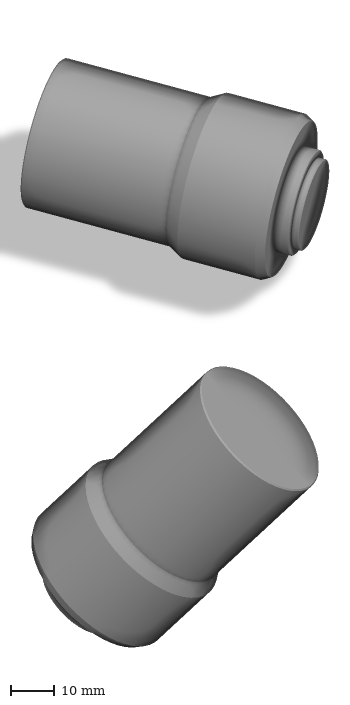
import cadquery as cq

total_length = 65.95

barrel_radius = 18.0
head_radius = 20.0
head_end_radius = 18.8
collar_radius = 12.7
tip_radius = 11.0

barrel_end = 35.75
head_start = 39.3
head_bevel_start = 58.3
head_end = 60.35
collar_end = 64.05

barrel_chamfer = 0.3
collar_chamfer = 0.2
tip_chamfer = 0.2

profile = [
    (0, 0),
    (0, barrel_radius - barrel_chamfer),
    (barrel_chamfer, barrel_radius),
    (barrel_end, barrel_radius),
    (head_start, head_radius),
    (head_bevel_start, head_radius),
    (head_end, head_end_radius),
    (head_end, collar_radius),
    (collar_end - collar_chamfer, collar_radius),
    (collar_end, collar_radius - collar_chamfer),
    (collar_end, tip_radius - tip_chamfer),
    (collar_end + tip_chamfer, tip_radius),
    (total_length - tip_chamfer, tip_radius),
    (total_length, tip_radius - tip_chamfer),
    (total_length, 0),
]

result = cq.Workplane("XY").polyline(profile).close().revolve(360, (0, 0, 0), (1, 0, 0))